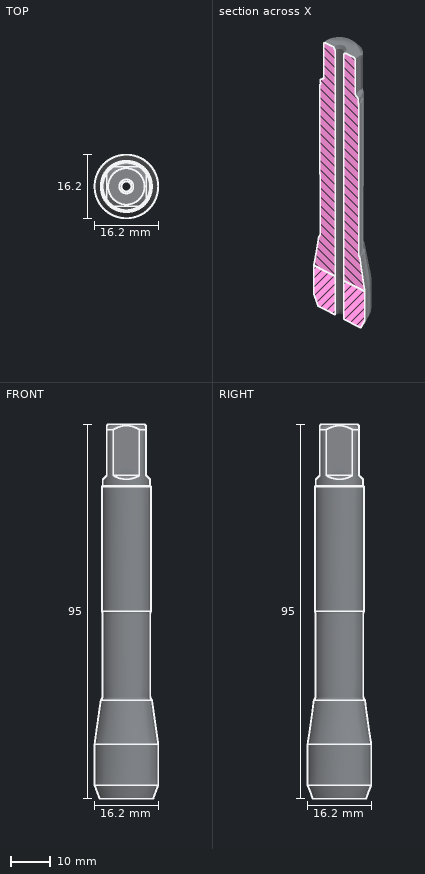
import cadquery as cq
import math

total_length = 95.0
bore_diameter = 2.5
cutter_diameter = 16.2

cutter_length = 13.9
lead_length = 3.5
lead_tip_diameter = 13.6

cone_top_z = 25.0
cone_top_diameter = 13.05
neck_diameter = 12.2
neck_fillet_radius = 1.4
relief_top_z = 47.55

shank_diameter = 12.5
shank_top_z = 79.4
drive_diameter = 12.0
drive_width = 10.0
flat_bottom_z = 82.0
drive_top_chamfer = 1.4
bore_mouth_diameter = 3.6
bore_mouth_angle = 60.0

bore_radius = bore_diameter / 2


def fillet_height(outer_diameter):
    """Axial length of the neck fillet from its tangent point out to the given diameter."""
    rise = (outer_diameter - neck_diameter) / 2
    return math.sqrt(neck_fillet_radius**2 - (neck_fillet_radius - rise) ** 2)


def fillet_middle(outer_diameter):
    """Radius and axial distance from the tangent point of the middle of the neck fillet arc."""
    half_angle = math.asin(fillet_height(outer_diameter) / neck_fillet_radius) / 2
    radius = neck_diameter / 2 + neck_fillet_radius * (1 - math.cos(half_angle))
    return radius, neck_fillet_radius * math.sin(half_angle)


def revolve_about_z(profile):
    """Revolve a profile drawn as (radius, z) about the Z axis."""
    return profile.close().revolve(360, (0, 0, 0), (0, 1, 0))


def make_cutter():
    outline = [
        (bore_radius, 0),
        (lead_tip_diameter / 2, 0),
        (cutter_diameter / 2, lead_length),
        (cutter_diameter / 2, cutter_length),
        (bore_radius, cutter_length),
    ]
    return revolve_about_z(cq.Workplane("XZ").polyline(outline))


def make_turned_holder():
    """Holder before the square is milled, with the bore and its countersunk mouth."""
    neck_radius = neck_diameter / 2
    shank_radius = shank_diameter / 2
    drive_radius = drive_diameter / 2
    shank_chamfer = shank_radius - drive_radius
    mouth_radius = bore_mouth_diameter / 2
    mouth_depth = (mouth_radius - bore_radius) / math.tan(math.radians(bore_mouth_angle / 2))
    neck_bottom_z = cone_top_z + fillet_height(cone_top_diameter)
    neck_top_z = relief_top_z - fillet_height(shank_diameter)
    lower_arc_radius, lower_arc_offset = fillet_middle(cone_top_diameter)
    upper_arc_radius, upper_arc_offset = fillet_middle(shank_diameter)
    profile = (
        cq.Workplane("XZ")
        .moveTo(bore_radius, cutter_length)
        .lineTo(cutter_diameter / 2, cutter_length)
        .lineTo(cone_top_diameter / 2, cone_top_z)
        .threePointArc((lower_arc_radius, neck_bottom_z - lower_arc_offset), (neck_radius, neck_bottom_z))
        .lineTo(neck_radius, neck_top_z)
        .threePointArc((upper_arc_radius, neck_top_z + upper_arc_offset), (shank_radius, relief_top_z))
        .lineTo(shank_radius, shank_top_z - shank_chamfer)
        .lineTo(drive_radius, shank_top_z)
        .lineTo(drive_radius, total_length - drive_top_chamfer)
        .lineTo(drive_radius - drive_top_chamfer, total_length)
        .lineTo(mouth_radius, total_length)
        .lineTo(bore_radius, total_length - mouth_depth)
    )
    return revolve_about_z(profile)


def make_flat_cut():
    """Material milled off the +X side of the drive, its floor sloping down outward at 45 degrees."""
    flat_x = drive_width / 2
    outer_x = shank_diameter / 2
    outline = [
        (flat_x, flat_bottom_z),
        (outer_x, flat_bottom_z - (outer_x - flat_x)),
        (outer_x, total_length),
        (flat_x, total_length),
    ]
    return cq.Workplane("XZ").polyline(outline).close().extrude(drive_diameter / 2, both=True)


def make_holder():
    holder = make_turned_holder()
    for angle in (0, 90, 180, 270):
        holder = holder.cut(make_flat_cut().rotate((0, 0, 0), (0, 0, 1), angle))
    return holder


cutter = make_cutter()
holder = make_holder()
result = cq.Compound.makeCompound([cutter.val(), holder.val()])